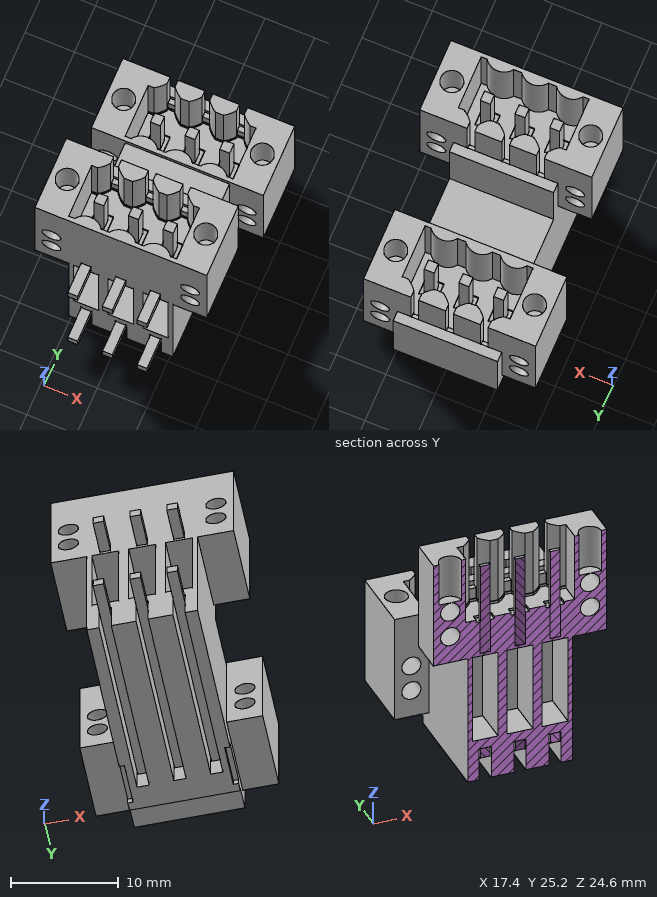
import cadquery as cq
import math


pitch = 3.5
ways = 3
way_x = [(i - (ways - 1) / 2) * pitch for i in range(ways)]
row_shift_y = 13.48
row_shift_z = 11.55

block_width = 17.4
block_depth = 7.5
block_height = 11.0
lower_block_bottom = 2.0
rows = [
    (row_shift_y, lower_block_bottom),
    (0.0, lower_block_bottom + row_shift_z),
]
overall_height = lower_block_bottom + row_shift_z + block_height

core_width = 10.53
ridge_thickness = 1.0
ridge_drop = 5.07
core_step_height = 12.5
heel_length = 2.17
heel_height = 0.43

cavity_width = 10.89
cavity_depth = 6.93
cavity_front = 0.43
cavity_back = 5.92
key_half_width = 1.34
front_key_rise = 0.7
slot_width = 0.78
slot_inner = 6.98
slot_depth = 5.55
foot_height = 0.25
foot_ledge = 0.08
post_flank_back = 6.8
post_flank_radius = 3.53

flange_hole_x = 2 * pitch
screw_hole_diameter = 2.22
screw_hole_y = block_depth / 2
screw_hole_depth = 4.4
cross_hole_diameter = 1.9
cross_hole_heights = [2.85, 5.55]

pin_size = 1.0
pin_tail = 3.2
pin_leg_y = 3.55
pin_tail_rise = 0.35
pin_top_drop = 1.13
pin_recess_size = 1.8
pin_recess_depth = 0.25

window_width = 2.55
window_bottom = 4.4
window_depth = 7.55
pin_slot_width = 1.15
side_recess_length = 4.0
side_recess_height = 0.7
side_recess_depth = 0.5


def box(x_center, width, y_min, y_max, z_min, z_max):
    """Axis-aligned box centred on x_center and given by its Y and Z limits."""
    solid = cq.Workplane("XY").box(width, y_max - y_min, z_max - z_min, centered=(True, False, False))
    return solid.translate((x_center, y_min, z_min))


def make_core():
    """Stepped side profile extruded across the core width."""
    ridge_back = block_depth + ridge_thickness
    core_back = row_shift_y + ridge_back
    upper_ridge_top = overall_height - ridge_drop
    profile = [
        (0, 0),
        (core_back - heel_length, 0),
        (core_back - heel_length, heel_height),
        (core_back, heel_height),
        (core_back, upper_ridge_top - row_shift_z),
        (core_back - ridge_thickness, upper_ridge_top - row_shift_z),
        (core_back - ridge_thickness, core_step_height),
        (ridge_back, core_step_height),
        (ridge_back, upper_ridge_top),
        (0, upper_ridge_top),
    ]
    return cq.Workplane("YZ").polyline(profile).close().extrude(core_width / 2, both=True)


def make_block(front, bottom):
    return box(0, block_width, front, front + block_depth, bottom, bottom + block_height)


def arc_middle(start, end, radius):
    """Middle point of the minor arc that bulges to the left of the way from start to end."""
    dx = end[0] - start[0]
    dy = end[1] - start[1]
    chord = math.hypot(dx, dy)
    sagitta = radius - math.sqrt(radius**2 - (chord / 2) ** 2)
    x = (start[0] + end[0]) / 2 - sagitta * dy / chord
    y = (start[1] + end[1]) / 2 + sagitta * dx / chord
    return (x, y)


def cavity_outline():
    """Plan of a socket: rounded keys along the front wall, rounded posts between slots at the back."""
    half = cavity_width / 2
    plan = cq.Workplane("XY").moveTo(-half, cavity_front)
    for x in way_x:
        plan = plan.lineTo(x - key_half_width, cavity_front)
        plan = plan.threePointArc(
            (x, cavity_front + front_key_rise),
            (x + key_half_width, cavity_front),
        )
    plan = plan.lineTo(half, cavity_front).lineTo(half, cavity_back)
    for x in reversed(way_x):
        right_post = (x + key_half_width, cavity_back)
        right_slot = (x + slot_width / 2, post_flank_back)
        left_slot = (x - slot_width / 2, post_flank_back)
        left_post = (x - key_half_width, cavity_back)
        plan = plan.lineTo(*right_post)
        plan = plan.threePointArc(arc_middle(right_post, right_slot, post_flank_radius), right_slot)
        plan = plan.lineTo(right_slot[0], slot_inner).lineTo(left_slot[0], slot_inner).lineTo(*left_slot)
        plan = plan.threePointArc(arc_middle(left_slot, left_post, post_flank_radius), left_post)
    return plan.lineTo(-half, cavity_back).close()


def socket_cut(front, bottom):
    """Cavity with a narrow ledge at the back of its floor, back-wall slots and a square recess per pin."""
    top = bottom + block_height
    floor = top - cavity_depth
    cut = cavity_outline().extrude(cavity_depth - foot_height).translate((0, front, floor + foot_height))
    foot = cavity_outline().extrude(foot_height)
    foot = foot.intersect(foot.translate((0, -foot_ledge, 0)))
    cut = cut.union(foot.translate((0, front, floor)))
    back = front + block_depth
    leg_y = front + pin_leg_y
    half = pin_recess_size / 2
    for x in way_x:
        cut = cut.union(box(x, slot_width, front + post_flank_back, back, top - slot_depth, top))
        cut = cut.union(box(x, pin_recess_size, leg_y - half, leg_y + half, floor - pin_recess_depth, floor))
    return cut


def flange_hole_cut(front, bottom):
    """A blind screw hole from above and two cross holes along Y in each flange."""
    top = bottom + block_height
    cut = cq.Workplane("XY")
    for x in (-flange_hole_x, flange_hole_x):
        screw_hole = cq.Workplane("XY").circle(screw_hole_diameter / 2).extrude(-screw_hole_depth)
        cut = cut.add(screw_hole.translate((x, front + screw_hole_y, top)))
        for height in cross_hole_heights:
            cross_hole = cq.Workplane("XZ").circle(cross_hole_diameter / 2).extrude(-block_depth)
            cut = cut.add(cross_hole.translate((x, front, bottom + height)))
    return cut.combine()


def make_pin(x, front, bottom):
    """L-shaped square pin: a tail out of the mounting face and a leg up into the socket."""
    tail_bottom = bottom + pin_tail_rise
    leg_front = front + pin_leg_y - pin_size / 2
    leg_back = leg_front + pin_size
    leg_top = bottom + block_height - pin_top_drop
    tail = box(x, pin_size, -pin_tail, leg_back, tail_bottom, tail_bottom + pin_size)
    leg = box(x, pin_size, leg_front, leg_back, tail_bottom, leg_top)
    return tail.union(leg)


def window_cut(x):
    """Deep rectangular window in the mounting face, up to the underside of the upper block."""
    return box(x, window_width, 0, window_depth, window_bottom, lower_block_bottom + row_shift_z)


def pin_slot_cut(x):
    """Slot in the underside through which a lower pin is laid in."""
    slot_end = row_shift_y + pin_leg_y + pin_size / 2
    slot_top = lower_block_bottom + pin_tail_rise + pin_size
    return box(x, pin_slot_width, 0, slot_end, 0, slot_top)


def side_recess_cut(side):
    """Shallow recess in the bottom edge of one core side, level with the lower pin legs."""
    middle = row_shift_y + pin_leg_y
    half = side_recess_length / 2
    x = side * (core_width - side_recess_depth) / 2
    return box(x, side_recess_depth, middle - half, middle + half, 0, side_recess_height)


pins = [make_pin(x, *row) for row in rows for x in way_x]

housing = make_core()
for row in rows:
    housing = housing.union(make_block(*row))
for row in rows:
    housing = housing.cut(socket_cut(*row)).cut(flange_hole_cut(*row))
for x in way_x:
    housing = housing.cut(window_cut(x)).cut(pin_slot_cut(x))
for side in (-1, 1):
    housing = housing.cut(side_recess_cut(side))
for pin in pins:
    housing = housing.cut(pin)

result = cq.Compound.makeCompound([housing.val(), *[pin.val() for pin in pins]])